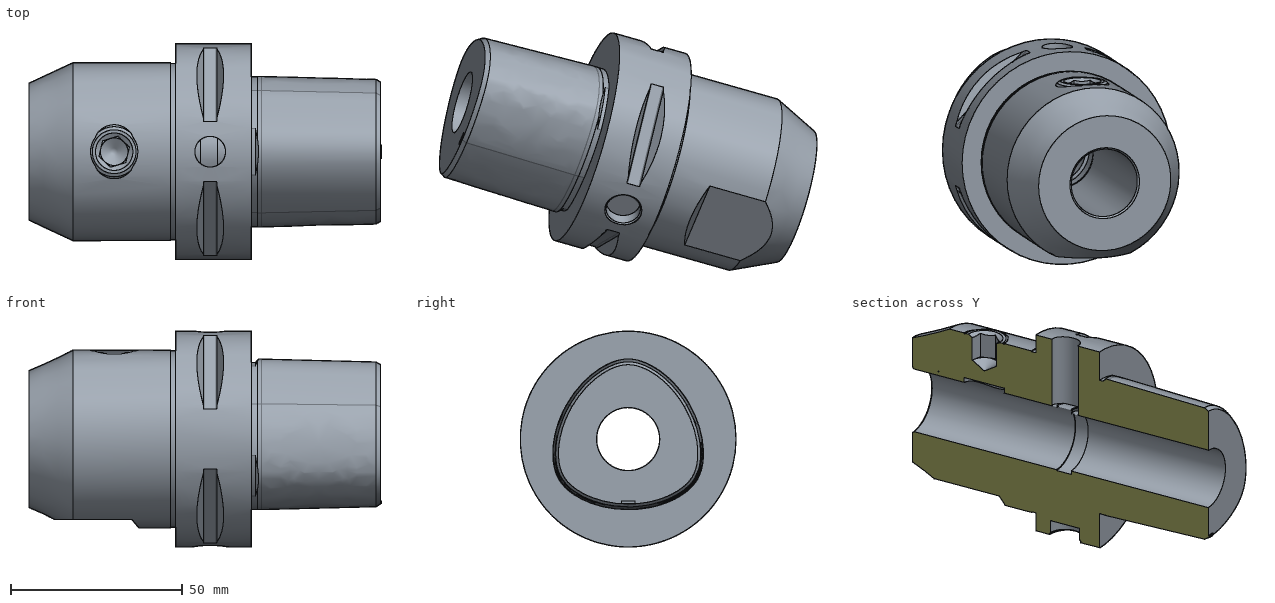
import cadquery as cq
import math


nose_radius = 20.0
body_diameter = 52.0
nose_angle = 25.0
undercut_diameter = 51.6
undercut_width = 1.5
flange_diameter = 63.0
flange_start = 42.8
flange_end = 65.0

flat_height = 23.5
flat_end = 30.1
flat_ramp_angle = 50.0

overall_length = 103.0
locator_height = 0.3
shank_end = overall_length - locator_height
gauge_position = 68.0
neck_end = 66.7
neck_setback = 0.05
gauge_diameter = 44.0
gauge_radius = gauge_diameter / 2
lobe_tip_radius = 23.4
lobe_height = lobe_tip_radius - gauge_radius
taper_slope = 0.025
chamfer_length = 1.3
chamfer_depth = 0.8
lobe_count = 3
spline_points = 25

relief_diameter = 44.9
relief_end = 66.1

locator_width = 4.0
locator_thickness = 0.6
locator_drop = 18.4

tool_bore_diameter = 20.0
bore_chamfer = 0.5
tool_bore_depth = 50.1
bore_groove_diameter = 20.5
bore_groove_width = 5.0
through_diameter = 18.3

screw_position = 24.9
screw_hole_diameter = 13.8
screw_diameter = 16.1
screw_top = 26.0
screw_length = 14.4
screw_top_radius = 6.4
screw_shoulder_radius = 7.3
screw_shoulder_drop = 0.5
screw_edge_drop = 1.3
socket_sides = 6
socket_width = 8.0
socket_depth = 8.0
socket_entry_diameter = 10.9
socket_entry_angle = 30.0
socket_turn = 17.0
socket_tip_angle = 118.0

flange_hole_position = 52.9
top_hole_diameter = 9.0
hole_floor_wall = 0.3
bottom_hole_diameter = 10.0
bottom_hole_depth = 4.5
bottom_hole_chamfer = 0.4
slot_width = 4.0
slot_floor_distance = 27.6
slot_corner_radius = 0.26
slot_wall_height = 0.6
slot_flare_angle = 30.0
slot_angles = (45, 135, 225, 315)


def revolved(profile):
    """Turn a profile of (x, radius) points about the X axis."""
    return cq.Workplane("XY").polyline(profile).close().revolve(360, (0, 0, 0), (1, 0, 0))


def cylinder_x(start, end, diameter):
    return cq.Workplane("YZ", origin=(start, 0, 0)).circle(diameter / 2).extrude(end - start)


def cylinder_z(position, bottom, top, diameter):
    return cq.Workplane("XY", origin=(position, 0, bottom)).circle(diameter / 2).extrude(top - bottom)


def make_body():
    body_radius = body_diameter / 2
    flange_radius = flange_diameter / 2
    undercut_radius = undercut_diameter / 2
    undercut_start = flange_start - undercut_width
    nose_length = (body_radius - nose_radius) / math.tan(math.radians(nose_angle))
    body = revolved([
        (0, 0),
        (0, nose_radius),
        (nose_length, body_radius),
        (undercut_start, body_radius),
        (undercut_start, undercut_radius),
        (flange_start, undercut_radius),
        (flange_start, flange_radius),
        (flange_end, flange_radius),
        (flange_end, 0),
    ])
    ramp_height = flange_radius - flat_height
    ramp_length = ramp_height / math.tan(math.radians(flat_ramp_angle))
    flat_cut = (
        cq.Workplane("XZ")
        .polyline([
            (0, -flat_height),
            (flat_end, -flat_height),
            (flat_end + ramp_length, -flange_radius),
            (0, -flange_radius),
        ])
        .close()
        .extrude(flange_radius, both=True)
    )
    return body.cut(flat_cut)


def lobed_wire(position, mean_radius):
    """Constant-width three-lobed outline at an X position, with one lobe toward +Z."""
    def point(angle):
        distance = mean_radius + lobe_height * math.cos(lobe_count * angle)
        slope = -lobe_count * lobe_height * math.sin(lobe_count * angle)
        y = distance * math.sin(angle) + slope * math.cos(angle)
        z = distance * math.cos(angle) - slope * math.sin(angle)
        return cq.Vector(position, y, z)

    lobe_span = 2 * math.pi / lobe_count
    edges = []
    for lobe in range(lobe_count):
        first = (lobe - 0.5) * lobe_span
        angles = [first + lobe_span * step / spline_points for step in range(spline_points + 1)]
        tangents = [
            cq.Vector(0, math.cos(angle), -math.sin(angle)) for angle in (angles[0], angles[-1])
        ]
        edges.append(cq.Edge.makeSpline([point(angle) for angle in angles], tangents))
    return cq.Wire.assembleEdges(edges)


def lobed_solid(start, start_radius, end, end_radius):
    wires = [lobed_wire(start, start_radius), lobed_wire(end, end_radius)]
    return cq.Workplane(obj=cq.Solid.makeLoft(wires, True))


def make_shank():
    chamfer_start = shank_end - chamfer_length
    tip_radius = gauge_radius - taper_slope * (chamfer_start - gauge_position)
    neck_radius = gauge_radius - neck_setback
    shank = (
        lobed_solid(flange_end, neck_radius, neck_end, neck_radius)
        .union(lobed_solid(neck_end, gauge_radius, gauge_position, gauge_radius))
        .union(lobed_solid(gauge_position, gauge_radius, chamfer_start, tip_radius))
        .union(lobed_solid(chamfer_start, tip_radius, shank_end, tip_radius - chamfer_depth))
    )
    relief_radius = relief_diameter / 2
    clear_radius = gauge_radius + 2 * lobe_height
    runout_end = relief_end + clear_radius - relief_radius
    relief = revolved([
        (flange_end, relief_radius),
        (relief_end, relief_radius),
        (runout_end, clear_radius),
        (flange_end, clear_radius),
    ])
    return shank.cut(relief)


def make_locator():
    """Small bar on the shank end face, half sunk into the shank."""
    bar = cq.Workplane("XY").box(2 * locator_height, locator_width, locator_thickness)
    return bar.translate((shank_end, 0, -locator_drop))


def make_bore():
    tool_radius = tool_bore_diameter / 2
    groove_end = tool_bore_depth + bore_groove_width
    chamfer = revolved([
        (0, 0),
        (0, tool_radius + bore_chamfer),
        (bore_chamfer, tool_radius),
        (bore_chamfer, 0),
    ])
    return (
        cylinder_x(0, overall_length, through_diameter)
        .union(cylinder_x(0, tool_bore_depth, tool_bore_diameter))
        .union(cylinder_x(tool_bore_depth, groove_end, bore_groove_diameter))
        .union(chamfer)
    )


def make_screw():
    """Clamping screw with a two-step beveled head edge and a hexagon socket."""
    profile = [
        (0, screw_top - screw_length),
        (screw_diameter / 2, screw_top - screw_length),
        (screw_diameter / 2, screw_top - screw_edge_drop),
        (screw_shoulder_radius, screw_top - screw_shoulder_drop),
        (screw_top_radius, screw_top),
        (0, screw_top),
    ]
    screw = cq.Workplane("XZ").polyline(profile).close().revolve(360, (0, 0, 0), (0, 1, 0))

    corner_diameter = socket_width / math.cos(math.pi / socket_sides)
    socket = (
        cq.Workplane("XY", origin=(0, 0, screw_top))
        .transformed(rotate=(0, 0, socket_turn))
        .polygon(socket_sides, corner_diameter)
        .extrude(-socket_depth)
    )
    tip_height = socket_width / 2 / math.tan(math.radians(socket_tip_angle / 2))
    tip = cq.Solid.makeCone(
        socket_width / 2, 0, tip_height, cq.Vector(0, 0, screw_top - socket_depth), cq.Vector(0, 0, -1)
    )
    entry_radius = socket_entry_diameter / 2
    entry_height = entry_radius * math.tan(math.radians(socket_entry_angle))
    entry = cq.Solid.makeCone(
        entry_radius, 0, entry_height, cq.Vector(0, 0, screw_top), cq.Vector(0, 0, -1)
    )
    screw = screw.cut(socket).cut(cq.Workplane(obj=tip)).cut(cq.Workplane(obj=entry))
    return screw.translate((screw_position, 0, 0))


def make_gripper_slot(angle):
    """Flat-floored slot across the flange: short upright walls, then flared walls."""
    half_width = slot_width / 2
    wall_top = slot_floor_distance + slot_wall_height
    outer = flange_diameter / 2
    flare = (outer - wall_top) * math.tan(math.radians(slot_flare_angle))
    slot = (
        cq.Workplane("XZ")
        .polyline([
            (-half_width, slot_floor_distance),
            (half_width, slot_floor_distance),
            (half_width, wall_top),
            (half_width + flare, outer),
            (-half_width - flare, outer),
            (-half_width, wall_top),
        ])
        .close()
        .extrude(outer, both=True)
        .edges("|Y and <Z")
        .fillet(slot_corner_radius)
    )
    return slot.translate((flange_hole_position, 0, 0)).rotate((0, 0, 0), (1, 0, 0), angle)


def make_top_hole():
    """Blind hole in the flange whose floor leaves a thin wall around the bore."""
    hole = cylinder_z(flange_hole_position, 0, flange_diameter / 2, top_hole_diameter)
    groove_end = tool_bore_depth + bore_groove_width
    wall = 2 * hole_floor_wall
    return (
        hole.cut(cylinder_x(0, tool_bore_depth, tool_bore_diameter + wall))
        .cut(cylinder_x(tool_bore_depth, groove_end, bore_groove_diameter + wall))
        .cut(cylinder_x(groove_end, flange_end, through_diameter + wall))
    )


def make_bottom_hole():
    """Shallow blind hole in the flange with a small conical chamfer at its mouth."""
    outer = flange_diameter / 2
    hole_radius = bottom_hole_diameter / 2
    rim = math.sqrt(outer**2 - hole_radius**2)
    mouth_radius = hole_radius + bottom_hole_chamfer
    outline = cq.Workplane("XZ").polyline([
        (0, bottom_hole_depth - outer),
        (hole_radius, bottom_hole_depth - outer),
        (hole_radius, bottom_hole_chamfer - rim),
        (mouth_radius, -rim),
        (mouth_radius, -outer),
        (0, -outer),
    ])
    hole = outline.close().revolve(360, (0, 0, 0), (0, 1, 0))
    return hole.translate((flange_hole_position, 0, 0))


holder = make_body().union(make_shank()).union(make_locator())
holder = holder.cut(make_bore())
holder = holder.cut(cylinder_z(screw_position, 0, flange_diameter / 2, screw_hole_diameter))
holder = holder.cut(make_top_hole())
holder = holder.cut(make_bottom_hole())
for slot_angle in slot_angles:
    holder = holder.cut(make_gripper_slot(slot_angle))

result = holder.union(make_screw())